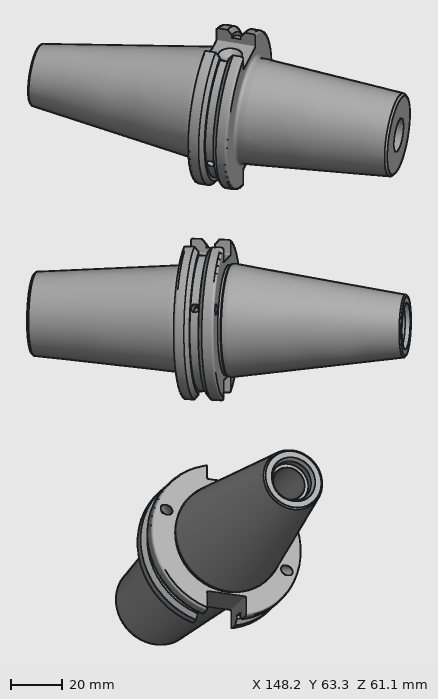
import cadquery as cq
import math

LENGTH = 148.2

TAPER_END_X = 67.9
GAUGE_RADIUS = 22.2
TAPER_SLOPE = 7 / 48
SHANK_CHAMFER = 0.6
NECK_START_X = 69.7
NECK_RADIUS = 21.8
NECK_STEP = GAUGE_RADIUS - NECK_RADIUS

FLANGE_FRONT_X = 71.2
FLANGE_BACK_X = 87.2
FLANGE_DIAMETER = 63.3
FLANGE_RADIUS = FLANGE_DIAMETER / 2
FLANGE_ROUND = 1.0
GROOVE_X = 79.3
GROOVE_FLOOR_RADIUS = 28.3
GROOVE_WALL_RADIUS = 29.6
GROOVE_HALF_WIDTH = 1.8
GROOVE_FLARE = 1.8

NOSE_DIAMETER = 42.0
NOSE_RADIUS = NOSE_DIAMETER / 2
NOSE_FILLET = 1.5
NOSE_CONE_X = 90.9
NOSE_END_RADIUS = 16.6
NOSE_CHAMFER = 0.9

BORE_DIAMETER = 13.3
COUNTERBORE_DIAMETER = 16.3
COUNTERBORE_DEPTH = 4.9
MOUTH_DIAMETER = 18.4
MOUTH_DEPTH = 1.8

SLOT_WIDTH = 16.5
SLOT_FLOOR_TOP = 24.6
SLOT_FLOOR_BOTTOM = 22.5
SLOT_FILLET = 0.6
DIMPLE_DIAMETER = 9.5
DIMPLE_POINT_ANGLE = 118.0

COOLANT_ANGLE = 19.8
COOLANT_DIAMETER = 4.0
COOLANT_ENTRY_RADIUS = 27.0
COOLANT_TILT = 38.0
CROSS_HOLE_DIAMETER = 3.3


def make_body():
    """Revolve the complete outer profile around the X axis."""
    small_radius = GAUGE_RADIUS - TAPER_SLOPE * TAPER_END_X
    chamfered_radius = small_radius + TAPER_SLOPE * SHANK_CHAMFER
    groove_left = GROOVE_X - GROOVE_HALF_WIDTH
    groove_right = GROOVE_X + GROOVE_HALF_WIDTH
    arc_offset = FLANGE_ROUND * (1 - math.sqrt(0.5))
    fillet_offset = NOSE_FILLET * (1 - math.sqrt(0.5))
    flange_shoulder = FLANGE_RADIUS - FLANGE_ROUND
    profile = (
        cq.Workplane("XY")
        .moveTo(0, 0)
        .lineTo(0, small_radius - SHANK_CHAMFER)
        .lineTo(SHANK_CHAMFER, chamfered_radius)
        .lineTo(TAPER_END_X, GAUGE_RADIUS)
        .lineTo(NECK_START_X, GAUGE_RADIUS)
        .lineTo(NECK_START_X + NECK_STEP, NECK_RADIUS)
        .lineTo(FLANGE_FRONT_X, NECK_RADIUS)
        .lineTo(FLANGE_FRONT_X, flange_shoulder)
        .threePointArc(
            (FLANGE_FRONT_X + arc_offset, FLANGE_RADIUS - arc_offset),
            (FLANGE_FRONT_X + FLANGE_ROUND, FLANGE_RADIUS),
        )
        .lineTo(groove_left - GROOVE_FLARE, FLANGE_RADIUS)
        .lineTo(groove_left, GROOVE_WALL_RADIUS)
        .lineTo(groove_left, GROOVE_FLOOR_RADIUS)
        .lineTo(groove_right, GROOVE_FLOOR_RADIUS)
        .lineTo(groove_right, GROOVE_WALL_RADIUS)
        .lineTo(groove_right + GROOVE_FLARE, FLANGE_RADIUS)
        .lineTo(FLANGE_BACK_X - FLANGE_ROUND, FLANGE_RADIUS)
        .threePointArc(
            (FLANGE_BACK_X - arc_offset, FLANGE_RADIUS - arc_offset),
            (FLANGE_BACK_X, flange_shoulder),
        )
        .lineTo(FLANGE_BACK_X, NOSE_RADIUS + NOSE_FILLET)
        .threePointArc(
            (FLANGE_BACK_X + fillet_offset, NOSE_RADIUS + fillet_offset),
            (FLANGE_BACK_X + NOSE_FILLET, NOSE_RADIUS),
        )
        .lineTo(NOSE_CONE_X, NOSE_RADIUS)
        .lineTo(LENGTH - NOSE_CHAMFER, NOSE_END_RADIUS)
        .lineTo(LENGTH, NOSE_END_RADIUS - NOSE_CHAMFER)
        .lineTo(LENGTH, 0)
        .close()
    )
    return profile.revolve(360, (0, 0, 0), (1, 0, 0))


def make_bore():
    """Through bore with a counterbore and a conical mouth at the shank end."""
    profile = (
        cq.Workplane("XY")
        .moveTo(0, 0)
        .lineTo(0, MOUTH_DIAMETER / 2)
        .lineTo(MOUTH_DEPTH, COUNTERBORE_DIAMETER / 2)
        .lineTo(COUNTERBORE_DEPTH, COUNTERBORE_DIAMETER / 2)
        .lineTo(COUNTERBORE_DEPTH, BORE_DIAMETER / 2)
        .lineTo(LENGTH, BORE_DIAMETER / 2)
        .lineTo(LENGTH, 0)
        .close()
    )
    return profile.revolve(360, (0, 0, 0), (1, 0, 0))


def make_slot(floor_height, side):
    """Drive slot open outward; side is +1 for the top and -1 for the bottom."""
    width_x = FLANGE_BACK_X - FLANGE_FRONT_X
    height = FLANGE_RADIUS
    center_x = (FLANGE_FRONT_X + FLANGE_BACK_X) / 2
    floor_face = "<Z" if side > 0 else ">Z"
    return (
        cq.Workplane("XY")
        .box(width_x, SLOT_WIDTH, height)
        .translate((center_x, 0, side * (floor_height + height / 2)))
        .faces(floor_face)
        .edges("|X")
        .fillet(SLOT_FILLET)
    )


def make_dimple():
    """Conical dimple in the floor of the upper drive slot."""
    radius = DIMPLE_DIAMETER / 2
    depth = radius / math.tan(math.radians(DIMPLE_POINT_ANGLE / 2))
    return cq.Workplane(
        cq.Solid.makeCone(
            radius, 0, depth, cq.Vector(GROOVE_X, 0, SLOT_FLOOR_TOP), cq.Vector(0, 0, -1)
        )
    )


def make_coolant_passage(angle):
    """Inclined hole from the flange face, met by a radial hole from the groove."""
    tilt = math.radians(COOLANT_TILT)
    run_x = GROOVE_X - FLANGE_FRONT_X
    meeting_radius = COOLANT_ENTRY_RADIUS - run_x * math.tan(tilt)
    lead = COOLANT_DIAMETER
    direction = cq.Vector(math.cos(tilt), -math.sin(tilt), 0)
    start = cq.Vector(FLANGE_FRONT_X, COOLANT_ENTRY_RADIUS, 0) - direction * lead
    inclined = cq.Solid.makeCylinder(
        COOLANT_DIAMETER / 2, lead + run_x / math.cos(tilt), start, direction
    )
    radial = cq.Solid.makeCylinder(
        CROSS_HOLE_DIAMETER / 2,
        FLANGE_RADIUS - meeting_radius,
        cq.Vector(GROOVE_X, meeting_radius, 0),
        cq.Vector(0, 1, 0),
    )
    passage = cq.Workplane(inclined).union(cq.Workplane(radial))
    return passage.rotate((0, 0, 0), (1, 0, 0), angle)


result = make_body().cut(make_bore())
result = result.cut(make_slot(SLOT_FLOOR_TOP, 1)).cut(make_slot(SLOT_FLOOR_BOTTOM, -1))
result = result.cut(make_dimple())
for passage_angle in (COOLANT_ANGLE, COOLANT_ANGLE + 180):
    result = result.cut(make_coolant_passage(passage_angle))